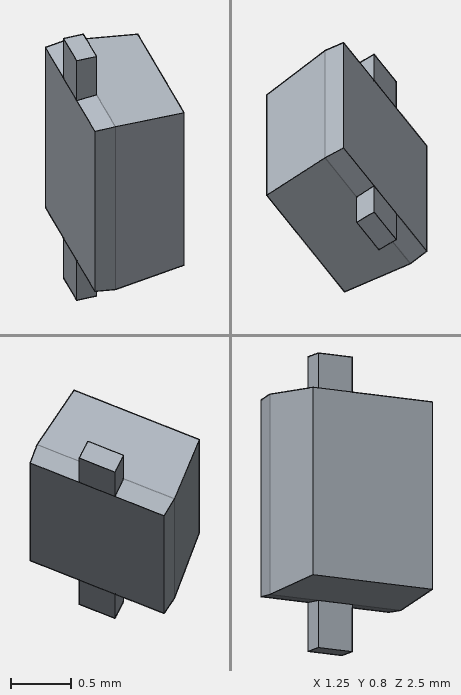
import cadquery as cq
import math

housing_width = 1.25
housing_height = 1.7
total_height = 2.5
total_depth = 0.8

lead_width = 0.325
lead_thickness = 0.175

draft_angle = 5.0
front_depth = lead_thickness
back_depth = total_depth - front_depth


def make_housing_half(depth):
    """Drafted half of the housing; positive depth runs to the front (-Y), negative to the back."""
    parting_outline = cq.Workplane("XZ").rect(housing_width, housing_height)
    return parting_outline.extrude(depth, taper=draft_angle)


def make_housing():
    """Moulded block, widest at the parting plane and drafted towards front and back."""
    return make_housing_half(front_depth).union(make_housing_half(-back_depth))


def make_lead(end):
    """Flat lead at the upper (end = 1) or lower (end = -1) side, seated on the drafted wall."""
    wall_at_parting = housing_height / 2
    wall_at_front = wall_at_parting - front_depth * math.tan(math.radians(draft_angle))
    tip = total_height / 2
    profile = [
        (0, end * wall_at_parting),
        (0, end * tip),
        (-front_depth, end * tip),
        (-front_depth, end * wall_at_front),
    ]
    return cq.Workplane("YZ").polyline(profile).close().extrude(lead_width / 2, both=True)


housing = make_housing()
leads = [make_lead(end) for end in (1, -1)]

result = cq.Compound.makeCompound([housing.val(), *[lead.val() for lead in leads]])